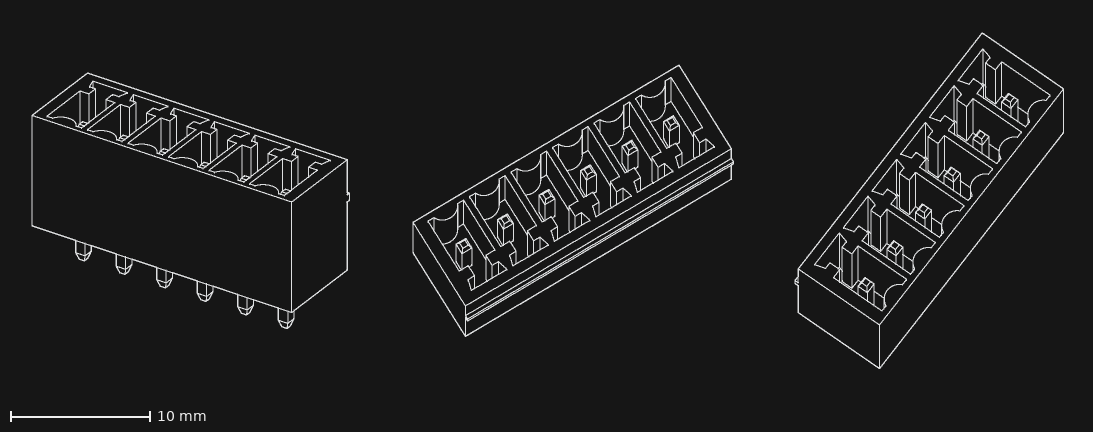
import cadquery as cq

length = 22.4
body_depth = 7.25
body_height = 9.2

rib_depth = 0.3
rib_height = 0.6
rib_bottom = 5.67

pin_count = 6
pin_pitch = 3.5
pin_y = 3.0
pin_width = 0.83
tip_length = 0.58
tip_width = 0.45
pin_below = 3.4
pin_top = 7.85

cavity_floor = 2.0
cavity_width = 3.0
cavity_front = 0.5
shoulder_y = 4.82
neck_back = 5.7
cavity_back = 6.5
neck_width = 1.48
dovetail_width = 2.55
key_radius = 1.12

pin_positions = [(i - (pin_count - 1) / 2) * pin_pitch for i in range(pin_count)]


def make_housing():
    """Rectangular block with a full-length rib on its back face."""
    block = cq.Workplane("XY").box(length, body_depth, body_height, centered=(True, False, False))
    rib = (
        cq.Workplane("XY", origin=(0, body_depth, rib_bottom))
        .box(length, rib_depth, rib_height, centered=(True, False, False))
    )
    return block.union(rib)


def make_cavity(x):
    """Keyed pocket: straight sides, narrow neck, and a dovetail widening towards the back."""
    half_width = cavity_width / 2
    half_neck = neck_width / 2
    half_dovetail = dovetail_width / 2
    right_side = [
        (half_width, cavity_front),
        (half_width, shoulder_y),
        (half_neck, shoulder_y),
        (half_neck, neck_back),
        (half_dovetail, neck_back),
        (half_width, cavity_back),
    ]
    left_side = [(-px, py) for px, py in reversed(right_side)]
    cavity_height = body_height - cavity_floor
    pocket = (
        cq.Workplane("XY", origin=(x, 0, cavity_floor))
        .polyline(right_side + left_side)
        .close()
        .extrude(cavity_height)
    )
    key = cq.Workplane("XY", origin=(x, 0, cavity_floor)).circle(key_radius).extrude(cavity_height)
    return pocket.cut(key)


def make_tip(x, base_z, end_z):
    """Four-sided taper from the full pin section at base_z to the narrow end at end_z."""
    return (
        cq.Workplane("XY", origin=(x, pin_y, base_z))
        .rect(pin_width, pin_width)
        .workplane(offset=end_z - base_z)
        .rect(tip_width, tip_width)
        .loft(ruled=True)
    )


def make_pin(x):
    """Square contact through the cavity floor, tapered at both ends."""
    shank_bottom = tip_length - pin_below
    shank_top = pin_top - tip_length
    shank = (
        cq.Workplane("XY", origin=(x, pin_y, shank_bottom))
        .rect(pin_width, pin_width)
        .extrude(shank_top - shank_bottom)
    )
    upper_tip = make_tip(x, shank_top, pin_top)
    lower_tip = make_tip(x, shank_bottom, -pin_below)
    return shank.union(upper_tip).union(lower_tip)


result = make_housing()
for pin_x in pin_positions:
    result = result.cut(make_cavity(pin_x)).union(make_pin(pin_x))